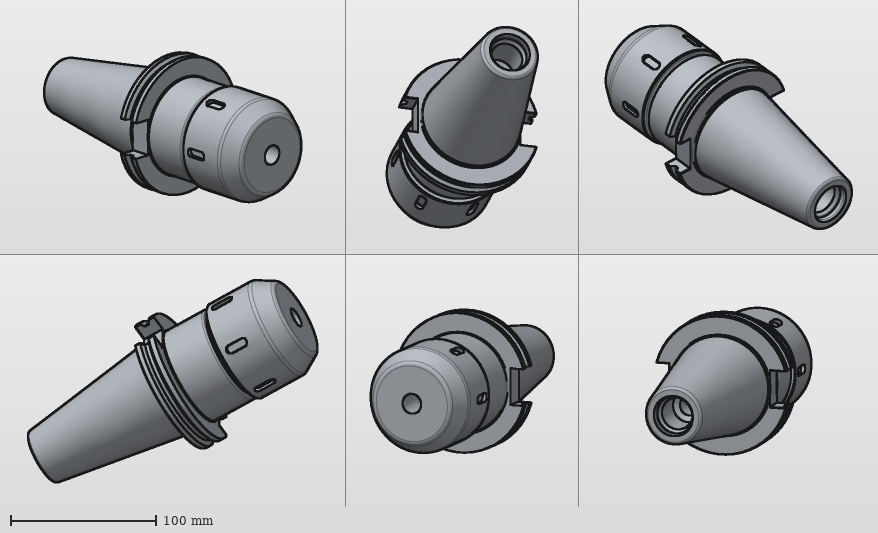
import math

import cadquery as cq

length = 206.6

taper_ratio = 7 / 24
gauge_diameter = 70.3
gauge_position = 102.7
taper_end_fillet = 2.0
relief_diameter = 69.8
relief_root_fillet = 0.8

flange_diameter = 97.5
flange_start = 105.0
flange_end = 120.3
flange_chamfer = 0.5
groove_center = 112.6
groove_floor_width = 3.0
groove_depth = 3.3
groove_flank_angle = 30.0
key_slot_width = 25.6
deep_key_floor = 35.3
shallow_key_floor = 37.6

shank_diameter = 70.3
shank_root_fillet = 0.6
shank_end = 153.1
shank_end_fillet = 1.2

mouth_diameter = 28.3
mouth_depth = 1.9
entry_diameter = 26.7
entry_depth = 5.2
countersink_start = 6.2
countersink_end = 8.7
countersink_diameter = 25.6
thread_diameter = 22.3
thread_depth = 33.0
through_diameter = 13.8
drill_point_angle = 60.0

nut_diameter = 74.0
collar_diameter = 63.2
collar_bevel_length = 1.2
collar_bevel_height = 0.6
collar_fillet = 2.0
nut_rear = shank_end + collar_bevel_length + collar_fillet
nut_rear_chamfer = 0.6
nut_shoulder = 192.2
nut_shoulder_fillet = 5.2
nut_nose_angle = 30.0
nut_face_fillet = 3.7

slot_count = 6
slot_width = 6.0
slot_length = 16.1
slot_depth = 2.9
slot_center = 169.6

position_tolerance = 0.02


def spin(outline):
    """Solid of revolution of a closed (x, radius) outline about the X axis."""
    return outline.close().revolve(360, (0, 0, 0), (1, 0, 0))


def make_core():
    """Taper, relief and shank, without the flange."""
    taper_end_radius = (gauge_diameter - taper_ratio * gauge_position) / 2
    relief_radius = relief_diameter / 2
    shank_radius = shank_diameter / 2
    outline = (
        cq.Workplane("XY")
        .lineTo(0, taper_end_radius)
        .lineTo(gauge_position, gauge_diameter / 2)
        .lineTo(gauge_position, relief_radius)
        .lineTo(flange_start - relief_root_fillet, relief_radius)
        .tangentArcPoint((flange_start, relief_radius + relief_root_fillet), relative=False)
        .lineTo(flange_start, relief_radius)
        .lineTo(flange_end, relief_radius)
        .lineTo(flange_end, shank_radius + shank_root_fillet)
        .radiusArc((flange_end + shank_root_fillet, shank_radius), -shank_root_fillet)
        .lineTo(shank_end - shank_end_fillet, shank_radius)
        .tangentArcPoint((shank_end, shank_radius - shank_end_fillet), relative=False)
        .lineTo(shank_end, 0)
    )
    return spin(outline).faces("<X").edges().fillet(taper_end_fillet)


def key_slot(floor, side):
    """Block cutting the flange beyond the slot floor, on the side given by the sign of Y."""
    reach = flange_diameter
    block = cq.Workplane("XY").box(flange_end - flange_start, reach, key_slot_width)
    return block.translate(((flange_start + flange_end) / 2, side * (floor + reach / 2), 0))


def make_groove():
    """V-shaped ring with a flat floor, running round the flange rim."""
    rim_radius = flange_diameter / 2
    floor_radius = rim_radius - groove_depth
    half_floor = groove_floor_width / 2
    half_mouth = half_floor + groove_depth * math.tan(math.radians(groove_flank_angle))
    outline = (
        cq.Workplane("XY")
        .moveTo(groove_center - half_floor, floor_radius)
        .lineTo(groove_center + half_floor, floor_radius)
        .lineTo(groove_center + half_mouth, rim_radius)
        .lineTo(groove_center - half_mouth, rim_radius)
    )
    return spin(outline)


def make_flange():
    flange = cq.Workplane("YZ", origin=(flange_start, 0, 0)).circle(flange_diameter / 2)
    flange = flange.extrude(flange_end - flange_start)
    flange = flange.cut(key_slot(deep_key_floor, -1)).cut(key_slot(shallow_key_floor, 1))
    face_edges = flange.faces("<X").edges("not |Z")
    corner_limit = flange_diameter / 2 - groove_depth
    rim_corners = flange.edges("|X").filter(lambda edge: abs(edge.Center().y) > corner_limit)
    flange = face_edges.add(rim_corners).chamfer(flange_chamfer)
    return flange.cut(make_groove())


def make_bore():
    """Rounded mouth, entry, countersink, thread hole and through hole of the holder."""
    cone_length = (thread_diameter - through_diameter) / 2 / math.tan(math.radians(drill_point_angle))
    outline = (
        cq.Workplane("XY")
        .lineTo(shank_end, 0)
        .lineTo(shank_end, through_diameter / 2)
        .lineTo(thread_depth + cone_length, through_diameter / 2)
        .lineTo(thread_depth, thread_diameter / 2)
        .lineTo(countersink_end, thread_diameter / 2)
        .lineTo(countersink_start, countersink_diameter / 2)
        .lineTo(entry_depth, entry_diameter / 2)
        .lineTo(mouth_depth, entry_diameter / 2)
        .tangentArcPoint((0, mouth_diameter / 2), relative=False)
    )
    return spin(outline)


def make_holder():
    return make_core().union(make_flange()).cut(make_bore())


def spanner_slot(angle):
    """Round-ended slot cutter, turned about the X axis from the -Y side."""
    floor_radius = nut_diameter / 2 - slot_depth
    cutter = cq.Workplane("XZ", origin=(slot_center, -floor_radius, 0))
    cutter = cutter.slot2D(slot_length, slot_width).extrude(2 * slot_depth)
    return cutter.rotate((0, 0, 0), (1, 0, 0), angle)


def make_nut():
    bore_radius = through_diameter / 2
    collar_radius = collar_diameter / 2
    outer_radius = nut_diameter / 2
    nose_drop = (length - nut_shoulder) * math.tan(math.radians(nut_nose_angle))
    outline = (
        cq.Workplane("XY")
        .moveTo(shank_end, bore_radius)
        .lineTo(shank_end, collar_radius - collar_bevel_height)
        .lineTo(shank_end + collar_bevel_length, collar_radius)
        .radiusArc((nut_rear, collar_radius + collar_fillet), -collar_fillet)
        .lineTo(nut_rear, outer_radius - nut_rear_chamfer)
        .lineTo(nut_rear + nut_rear_chamfer, outer_radius)
        .lineTo(nut_shoulder, outer_radius)
        .lineTo(length, outer_radius - nose_drop)
        .lineTo(length, bore_radius)
    )
    nut = spin(outline)
    nut = nut.faces(">X").edges(cq.selectors.RadiusNthSelector(-1)).fillet(nut_face_fillet)
    shoulder_edge = nut.edges("%CIRCLE").filter(
        lambda edge: abs(edge.Center().x - nut_shoulder) < position_tolerance
    )
    nut = shoulder_edge.fillet(nut_shoulder_fillet)
    for index in range(slot_count):
        nut = nut.cut(spanner_slot(index * 360 / slot_count))
    return nut


holder = make_holder()
nut = make_nut()
result = cq.Compound.makeCompound([holder.val(), nut.val()])